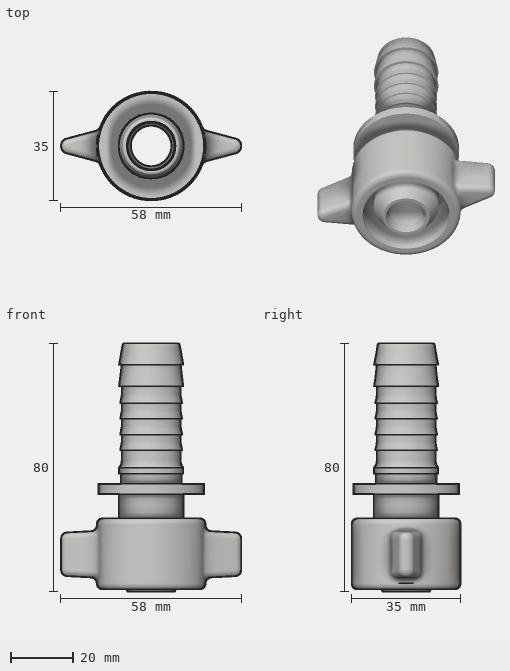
import cadquery as cq
import math

TOTAL_HEIGHT = 80.0
WING_SPAN = 58.0

SPIGOT_RADIUS = 19.0 / 2
NECK_RADIUS = 19.7 / 2
COLLAR_RADIUS = 20.7 / 2
STUB_RADIUS = 20.9 / 2
RING_BARB_RADIUS = 20.0 / 2
TIP_RADIUS = 18.2 / 2
LONG_BARB_HEIGHT = 7.0
LONG_BARB_COUNT = 2
RING_BARB_HEIGHT = 2.5
RING_BARB_PITCH = 5.0
RING_BARB_COUNT = 4
TOP_RING_BARB_BASE = 60.6
FLARE_TOP = 42.1
COLLAR_TOP = 39.9
COLLAR_BASE = 38.0
TIP_ROUND = 0.9
BORE_RIM_CHAMFER = 0.3

UPPER_BORE_RADIUS = 15.0 / 2
LOWER_BORE_RADIUS = 13.0 / 2

NOSE_RADIUS = 15.0 / 2
NOSE_HALF_ANGLE = 30.0

WASHER_RADIUS = 34.0 / 2
WASHER_HOLE_RADIUS = 21.0 / 2
WASHER_BASE = 31.4
WASHER_TOP = 34.7

NUT_RADIUS = 35.0 / 2
NUT_BASE = 0.8
NUT_TOP = 23.7
NUT_ROUND = 1.9
NUT_NECK_HOLE_RADIUS = 21.5 / 2
NUT_COUNTERSINK_RADIUS = 24.8 / 2
NUT_COUNTERSINK_DEPTH = 1.0
NUT_BORE_RADIUS = 28.0 / 2
NUT_LIP_THICKNESS = 3.2

WING_MIDDLE = 12.1
WING_TIP_RADIUS = 2.5
WING_FLANK_ANGLE = 15.0
WING_DRAFT_ANGLE = 3.0
WING_TIP_HALF_HEIGHT = 7.0
WING_EDGE_ROUND = 2.0
WING_ROOT_ROUND = 1.8
WING_ROOT_X = 12.8

FLANGE_TOP = NUT_TOP - NUT_LIP_THICKNESS
FLANGE_THICKNESS = 4.0
FLANGE_BASE = FLANGE_TOP - FLANGE_THICKNESS
BORE_STEP = FLANGE_BASE


def revolve_profile(profile):
    """Turn a closed (radius, height) outline around the Z axis."""
    return profile.close().revolve(360, (0, 0, 0), (0, 1, 0))


def make_hose_tail():
    nose_height = (STUB_RADIUS - NOSE_RADIUS) / math.tan(math.radians(NOSE_HALF_ANGLE))
    bore_step_width = UPPER_BORE_RADIUS - LOWER_BORE_RADIUS
    flare_width = COLLAR_RADIUS - SPIGOT_RADIUS

    outline = (
        cq.Workplane("XZ")
        .moveTo(LOWER_BORE_RADIUS, 0)
        .lineTo(NOSE_RADIUS, 0)
        .lineTo(STUB_RADIUS, nose_height)
        .lineTo(STUB_RADIUS, FLANGE_BASE)
        .lineTo(NUT_BORE_RADIUS, FLANGE_BASE)
        .lineTo(NUT_BORE_RADIUS, FLANGE_TOP)
        .lineTo(STUB_RADIUS, FLANGE_TOP)
        .lineTo(STUB_RADIUS, WASHER_TOP)
        .lineTo(NECK_RADIUS, WASHER_TOP)
        .lineTo(NECK_RADIUS, COLLAR_BASE)
        .lineTo(COLLAR_RADIUS, COLLAR_BASE)
        .lineTo(COLLAR_RADIUS, COLLAR_TOP)
        .spline(
            [(SPIGOT_RADIUS, FLARE_TOP)],
            tangents=[(-flare_width, flare_width), (0, FLARE_TOP - COLLAR_TOP)],
            includeCurrent=True,
        )
    )
    for index in reversed(range(RING_BARB_COUNT)):
        base = TOP_RING_BARB_BASE - index * RING_BARB_PITCH
        outline = (
            outline.lineTo(SPIGOT_RADIUS, base)
            .lineTo(RING_BARB_RADIUS, base)
            .lineTo(SPIGOT_RADIUS, base + RING_BARB_HEIGHT)
        )

    long_barbs_base = TOTAL_HEIGHT - LONG_BARB_COUNT * LONG_BARB_HEIGHT
    upper_barb_base = long_barbs_base + LONG_BARB_HEIGHT
    outline = (
        outline.lineTo(SPIGOT_RADIUS, long_barbs_base)
        .lineTo(COLLAR_RADIUS, long_barbs_base)
        .lineTo(SPIGOT_RADIUS, upper_barb_base)
        .lineTo(COLLAR_RADIUS, upper_barb_base)
        .lineTo(TIP_RADIUS, TOTAL_HEIGHT)
        .lineTo(UPPER_BORE_RADIUS + BORE_RIM_CHAMFER, TOTAL_HEIGHT)
        .lineTo(UPPER_BORE_RADIUS, TOTAL_HEIGHT - BORE_RIM_CHAMFER)
        .lineTo(UPPER_BORE_RADIUS, BORE_STEP + bore_step_width)
        .lineTo(LOWER_BORE_RADIUS, BORE_STEP)
    )
    tail = revolve_profile(outline)
    outer_rim = tail.faces(">Z").edges(cq.selectors.RadiusNthSelector(-1))
    return outer_rim.fillet(TIP_ROUND)


def make_washer():
    return (
        cq.Workplane("XY", origin=(0, 0, WASHER_BASE))
        .circle(WASHER_RADIUS)
        .circle(WASHER_HOLE_RADIUS)
        .extrude(WASHER_TOP - WASHER_BASE)
    )


def make_wing():
    """Wing on the +X side: tapered in plan and in height, with a round tip."""
    flank = math.radians(WING_FLANK_ANGLE)
    tip_x = WING_SPAN / 2
    tangent_x = tip_x - WING_TIP_RADIUS * (1 - math.sin(flank))
    tangent_y = WING_TIP_RADIUS * math.cos(flank)
    root_y = tangent_y + (tangent_x - WING_ROOT_X) * math.tan(flank)
    rise = (tip_x - WING_ROOT_X) * math.tan(math.radians(WING_DRAFT_ANGLE))
    root_half_height = WING_TIP_HALF_HEIGHT + rise

    plan = (
        cq.Workplane("XY", origin=(0, 0, WING_MIDDLE))
        .moveTo(WING_ROOT_X, -root_y)
        .lineTo(tangent_x, -tangent_y)
        .threePointArc((tip_x, 0), (tangent_x, tangent_y))
        .lineTo(WING_ROOT_X, root_y)
        .close()
        .extrude(root_half_height, both=True)
    )
    side = (
        cq.Workplane("XZ", origin=(0, 0, WING_MIDDLE))
        .moveTo(WING_ROOT_X, -root_half_height)
        .lineTo(tip_x, -WING_TIP_HALF_HEIGHT)
        .lineTo(tip_x, WING_TIP_HALF_HEIGHT)
        .lineTo(WING_ROOT_X, root_half_height)
        .close()
        .extrude(root_y, both=True)
    )
    outer_rims = (
        plan.intersect(side)
        .faces(">Z or <Z")
        .edges("not(<X)")
    )
    return outer_rims.fillet(WING_EDGE_ROUND)


def make_wing_nut():
    nut = (
        cq.Workplane("XY", origin=(0, 0, NUT_BASE))
        .circle(NUT_RADIUS)
        .extrude(NUT_TOP - NUT_BASE)
    )
    wing = make_wing()
    nut = nut.union(wing).union(wing.rotate((0, 0, 0), (0, 0, 1), 180))

    root_zone = cq.selectors.BoxSelector(
        (-NUT_RADIUS, -NUT_RADIUS / 2, NUT_BASE + NUT_ROUND),
        (NUT_RADIUS, NUT_RADIUS / 2, NUT_TOP - NUT_ROUND),
    )
    nut = nut.faces("%CYLINDER").edges(root_zone).fillet(WING_ROOT_ROUND)
    nut = nut.edges("%CIRCLE").edges(">Z or <Z").fillet(NUT_ROUND)

    cavity = revolve_profile(
        cq.Workplane("XZ")
        .moveTo(0, NUT_BASE)
        .lineTo(NUT_BORE_RADIUS, NUT_BASE)
        .lineTo(NUT_BORE_RADIUS, FLANGE_TOP)
        .lineTo(NUT_NECK_HOLE_RADIUS, FLANGE_TOP)
        .lineTo(NUT_NECK_HOLE_RADIUS, NUT_TOP - NUT_COUNTERSINK_DEPTH)
        .lineTo(NUT_COUNTERSINK_RADIUS, NUT_TOP)
        .lineTo(0, NUT_TOP)
    )
    return nut.cut(cavity)


hose_tail = make_hose_tail()
washer = make_washer()
wing_nut = make_wing_nut()

result = cq.Compound.makeCompound([hose_tail.val(), washer.val(), *wing_nut.vals()])